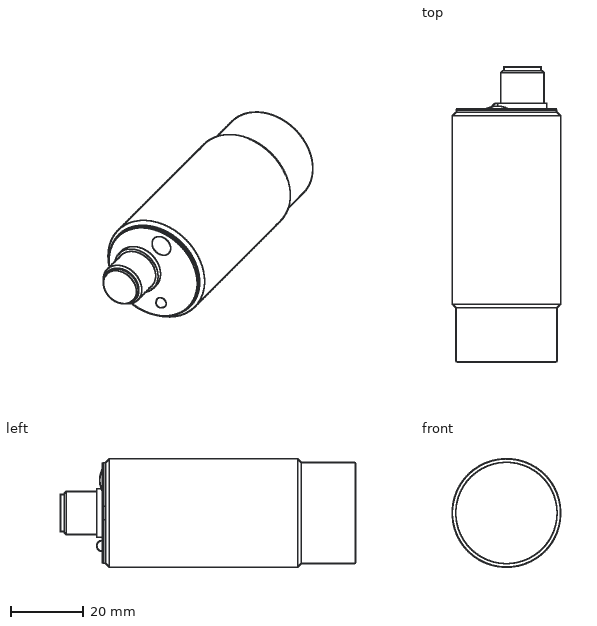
import cadquery as cq


nose_radius = 14.0
nose_length = 15.0
nose_edge_round = 0.5
body_radius = 15.0
body_chamfer = body_radius - nose_radius
body_rear = 69.0
end_cap_radius = 13.9
end_cap_taper_length = 0.5
end_cap_taper_depth = 0.2
end_face = 70.0

notch_width = 3.7
notch_depth = 0.2

connector_x = 4.4
flange_radius = 13.5 / 2
flange_height = 1.5
connector_radius = 12.0 / 2
connector_rear = 80.5
connector_chamfer = 0.6
tip_radius = 10.3 / 2
tip_rear = 81.5

indicator_x = -2.6
indicator_z = 9.1
lamp_radius = 3.0 / 2
screw_radius = 5.8 / 2
screw_height = 0.7
screw_dome_radius = (screw_radius ** 2 + screw_height ** 2) / (2 * screw_height)


def revolved(profile):
    """Revolve a half profile of (radius, Y) points about the Y axis."""
    return cq.Workplane("XY").polyline(profile).close().revolve(360, (0, 0, 0), (0, 1, 0))


def make_body():
    body = revolved([
        (0, 0),
        (nose_radius, 0),
        (nose_radius, nose_length),
        (body_radius, nose_length + body_chamfer),
        (body_radius, body_rear - body_chamfer),
        (body_radius - body_chamfer, body_rear),
        (0, body_rear),
    ])
    return body.faces("<Y").edges().fillet(nose_edge_round)


def make_end_cap():
    taper_start = end_face - end_cap_taper_length
    cap = revolved([
        (0, body_rear),
        (end_cap_radius, body_rear),
        (end_cap_radius, taper_start),
        (end_cap_radius - end_cap_taper_depth, end_face),
        (0, end_face),
    ])
    notch = (
        cq.Workplane("XY")
        .box(2 * notch_depth, taper_start - body_rear, notch_width, centered=(True, False, True))
        .translate((-end_cap_radius, body_rear, 0))
    )
    return cap.cut(notch)


def make_connector():
    flange_rear = end_face + flange_height
    connector = revolved([
        (0, body_rear),
        (flange_radius, body_rear),
        (flange_radius, flange_rear),
        (connector_radius, flange_rear),
        (connector_radius, connector_rear - connector_chamfer),
        (connector_radius - connector_chamfer, connector_rear),
        (tip_radius, connector_rear),
        (tip_radius, tip_rear),
        (0, tip_rear),
    ])
    return connector.translate((connector_x, 0, 0))


def make_lamp():
    """Half of this sphere stands out of the end face."""
    return cq.Workplane("XY").sphere(lamp_radius).translate((indicator_x, end_face, -indicator_z))


def make_screw_head():
    """A low dome, a slice of a sphere, on the end face."""
    head = (
        cq.Workplane("XY")
        .moveTo(0, end_face)
        .lineTo(screw_radius, end_face)
        .radiusArc((0, end_face + screw_height), -screw_dome_radius)
        .close()
        .revolve(360, (0, 0, 0), (0, 1, 0))
    )
    return head.translate((indicator_x, 0, indicator_z))


features = [make_end_cap(), make_connector(), make_lamp(), make_screw_head()]
result = make_body()
for feature in features:
    result = result.union(feature)